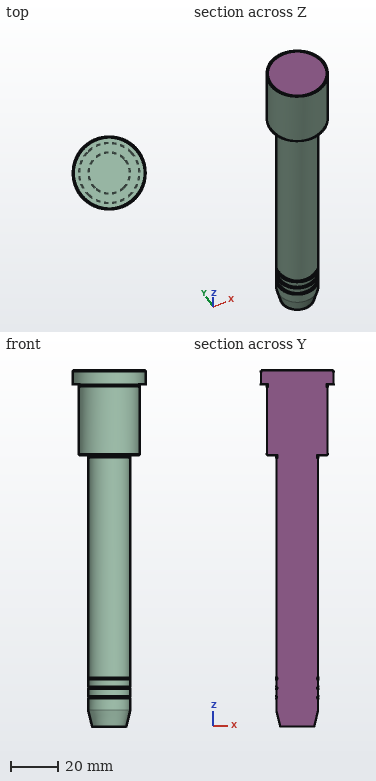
import cadquery as cq

total_height = 151.0
head_radius = 31.0 / 2
collar_radius = 26.0 / 2
shaft_radius = 18.0 / 2

head_height = 6.0
collar_height = 30.0

rim_bevel = 0.5

relief_height = 0.9
relief_depth = 0.5

tip_height = 7.1
tip_fillet = 0.6
tip_radius = 7.2

groove_count = 3
groove_depth = 0.5
groove_width = 2 * groove_depth
groove_pitch = 4 * groove_width
lowest_groove_z = 12.5

head_bottom = total_height - head_height
collar_bottom = head_bottom - collar_height


def cylinder(radius, bottom, top):
    """Solid cylinder on the Z axis between two heights."""
    return cq.Workplane("XY").workplane(offset=bottom).circle(radius).extrude(top - bottom)


def necked_cylinder(radius, bottom, top):
    """Cylinder whose uppermost part is reduced to a slightly smaller neck."""
    neck_bottom = top - relief_height
    neck = cylinder(radius - relief_depth, neck_bottom, top)
    return cylinder(radius, bottom, neck_bottom).union(neck)


def v_groove(center_z):
    """Ring cutter with a triangular section that points into the shaft."""
    section = [
        (shaft_radius, center_z - groove_width / 2),
        (shaft_radius - groove_depth, center_z),
        (shaft_radius, center_z + groove_width / 2),
    ]
    return cq.Workplane("XZ").polyline(section).close().revolve(360, (0, 0), (0, 1))


head = cylinder(head_radius, head_bottom, total_height)
head = head.faces(">Z").chamfer(rim_bevel)

collar = necked_cylinder(collar_radius, collar_bottom, head_bottom)
collar = collar.faces("<Z").chamfer(rim_bevel)

shaft = necked_cylinder(shaft_radius, tip_height, collar_bottom)
for i in range(groove_count):
    shaft = shaft.cut(v_groove(lowest_groove_z + i * groove_pitch))

tip = cq.Workplane("XY").circle(tip_radius).workplane(offset=tip_height).circle(shaft_radius).loft()
tip = tip.faces("<Z").edges().fillet(tip_fillet)

result = head.union(collar).union(shaft).union(tip)